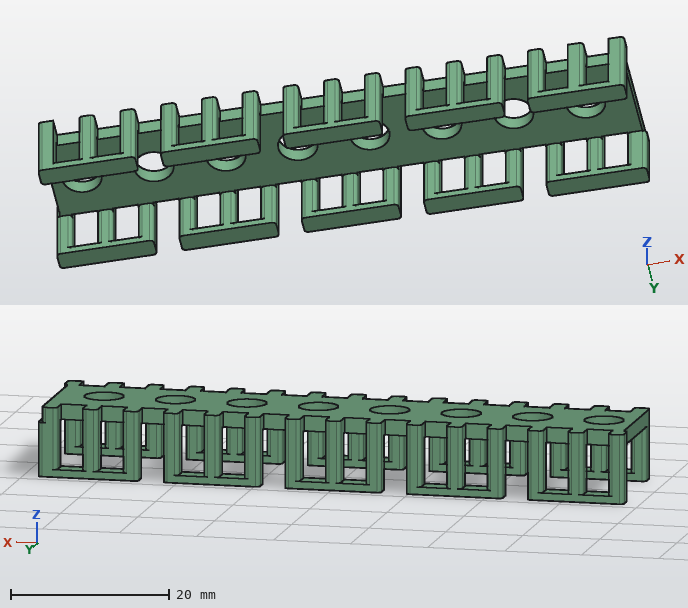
import cadquery as cq
import math

length = 76.0
width = 17.0
height = 9.0

row_shift = 0.5
plate_thickness = 2.0
plate_start = row_shift
plate_end = length - row_shift
plate_bottom = height - plate_thickness

wall_thickness = 2.5
wall_center = (width - wall_thickness) / 2
inner_y = width / 2 - wall_thickness
tooth_width = 2.0
tooth_radius = row_shift
groups_per_row = 5
teeth_per_group = 3
last_tooth = groups_per_row * teeth_per_group - 1
row_length = length - row_shift
tooth_pitch = (row_length - tooth_width) / last_tooth
group_pitch = teeth_per_group * tooth_pitch
group_length = (teeth_per_group - 1) * tooth_pitch + tooth_width
strip_height = 1.0

front_start = row_shift
back_start = 0

hole_count = 8
hole_diameter = 5.0
hole_pitch = 9.3
first_hole_x = 4.5


def block(x_start, x_end, y_start, y_end, z_start, z_end):
    """Plain block between the given limits."""
    size = (x_end - x_start, y_end - y_start, z_end - z_start)
    return cq.Workplane("XY").box(*size, centered=False).translate((x_start, y_start, z_start))


def rounded_post(x_start, x_end, y_center, z_end):
    """Block from the floor up, one wall thick, with rounded upright edges."""
    half = wall_thickness / 2
    return block(x_start, x_end, y_center - half, y_center + half, 0, z_end).edges("|Z").fillet(tooth_radius)


def tooth_row(row_start, y_center):
    """One side wall: evenly spaced teeth and a floor strip under each group."""
    row = cq.Workplane("XY")
    for index in range(last_tooth + 1):
        tooth_x = row_start + index * tooth_pitch
        row = row.add(rounded_post(tooth_x, tooth_x + tooth_width, y_center, height))
    for index in range(groups_per_row):
        group_x = row_start + index * group_pitch
        row = row.add(rounded_post(group_x, group_x + group_length, y_center, strip_height))
    return row.combine()


def plate():
    """Top plate with square roots that run into the inner end of every tooth."""
    body = block(plate_start, plate_end, -inner_y, inner_y, plate_bottom, height)
    root_y = inner_y + tooth_radius
    for row_start, y_start, y_end in ((front_start, -root_y, -inner_y), (back_start, inner_y, root_y)):
        for index in range(last_tooth + 1):
            tooth_x = row_start + index * tooth_pitch
            root_start = max(tooth_x, plate_start)
            root_end = min(tooth_x + tooth_width, plate_end)
            body = body.union(block(root_start, root_end, y_start, y_end, plate_bottom, height))
    return body


def back_end_blend():
    """Concave blend from the plate's left end into the rounded back tooth that stands past it.

    Its radius equals the tooth radius and the step between tooth and plate end, so the two
    arcs meet halfway across that step.
    """
    arc_center_rise = math.sqrt(3) * tooth_radius
    plate_y = inner_y + tooth_radius - arc_center_rise
    tooth_y = plate_y + arc_center_rise / 2
    inside_x = plate_start + tooth_radius
    return (
        cq.Workplane("XY", origin=(0, 0, plate_bottom))
        .moveTo(plate_start, plate_y)
        .radiusArc((plate_start - tooth_radius / 2, tooth_y), -tooth_radius)
        .lineTo(inside_x, tooth_y)
        .lineTo(inside_x, plate_y)
        .close()
        .extrude(plate_thickness)
    )


def square_front_corner(x_start):
    """Full-height fill that squares off one outer edge of a front tooth."""
    outer_y = -width / 2
    return block(x_start, x_start + tooth_radius, outer_y, outer_y + tooth_radius, 0, height)


def holes():
    """Cutters for the row of holes through the plate."""
    centers = [(first_hole_x + index * hole_pitch, 0) for index in range(hole_count)]
    return cq.Workplane("XY").pushPoints(centers).circle(hole_diameter / 2).extrude(height)


result = plate()
result = result.union(tooth_row(front_start, -wall_center))
result = result.union(tooth_row(back_start, wall_center))

result = result.union(rounded_post(length - tooth_width, length, wall_center, plate_bottom))

left_blend = back_end_blend()
result = result.union(left_blend)
result = result.union(left_blend.rotate((length / 2, 0, 0), (length / 2, 0, 1), 180))

result = result.union(square_front_corner(front_start + tooth_width - tooth_radius))
for tooth_index in (last_tooth - 1, last_tooth):
    result = result.union(square_front_corner(front_start + tooth_index * tooth_pitch))

result = result.cut(holes())